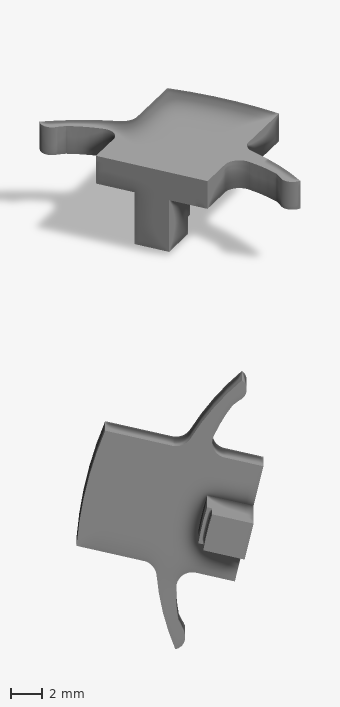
import cadquery as cq
import math

TURN_ANGLE = 45.4

PLATE_THICKNESS = 2.01
HALF_WIDTH = 3.99
SIDE_LENGTH = 10.43
END_RADIUS = 25.93
END_CENTER_Y = SIDE_LENGTH - math.sqrt(END_RADIUS**2 - HALF_WIDTH**2)

TOTAL_HEIGHT = 5.75
LEG_HALF_WIDTH = 1.25
LEG_LENGTH = 3.06
FOOT_LENGTH = 2.73
FOOT_HEIGHT = 1.26

OUTER_ROOT_START = (HALF_WIDTH, 5.88)
OUTER_ROOT_MIDDLE = (4.24, 5.32)
OUTER_ROOT_END = (4.68, 5.0)
OUTER_MIDDLE = (7.08, 4.02)
TIP_CORNER = (9.31, 2.67)
TIP_MIDDLE = (8.87, 2.26)
TIP_END = (7.96, 2.52)
NECK = (7.52, 2.86)
INNER_MIDDLE = (6.4, 3.28)
INNER_ROOT_START = (5.22, 3.57)
INNER_ROOT_MIDDLE = (4.42, 3.4)
INNER_ROOT_END = (HALF_WIDTH, 2.61)


def curved_block(half_width, length, bottom, height):
    """Block with one flat end and one end bulging about the shared end center."""
    radius = math.hypot(half_width, length - END_CENTER_Y)
    crown = END_CENTER_Y + radius
    return (
        cq.Workplane("XY")
        .workplane(offset=bottom)
        .moveTo(-half_width, 0)
        .lineTo(half_width, 0)
        .lineTo(half_width, length)
        .threePointArc((0, crown), (-half_width, length))
        .close()
        .extrude(height)
    )


def spring_arm():
    """Curved arm with filleted roots and a rounded tip, starting inside the plate."""
    return (
        cq.Workplane("XY")
        .moveTo(0, OUTER_ROOT_START[1])
        .lineTo(*OUTER_ROOT_START)
        .threePointArc(OUTER_ROOT_MIDDLE, OUTER_ROOT_END)
        .threePointArc(OUTER_MIDDLE, TIP_CORNER)
        .threePointArc(TIP_MIDDLE, TIP_END)
        .lineTo(*NECK)
        .threePointArc(INNER_MIDDLE, INNER_ROOT_START)
        .threePointArc(INNER_ROOT_MIDDLE, INNER_ROOT_END)
        .lineTo(0, INNER_ROOT_END[1])
        .close()
        .extrude(PLATE_THICKNESS)
    )


leg_bottom = PLATE_THICKNESS - TOTAL_HEIGHT
foot_top = leg_bottom + FOOT_HEIGHT

plate = curved_block(HALF_WIDTH, SIDE_LENGTH, 0, PLATE_THICKNESS)
leg = curved_block(LEG_HALF_WIDTH, LEG_LENGTH, foot_top, -foot_top)
foot = curved_block(LEG_HALF_WIDTH, FOOT_LENGTH, leg_bottom, FOOT_HEIGHT)
arm = spring_arm()

result = plate.union(leg).union(foot).union(arm).union(arm.mirror("YZ"))
result = result.rotate((0, 0, 0), (0, 0, 1), TURN_ANGLE)